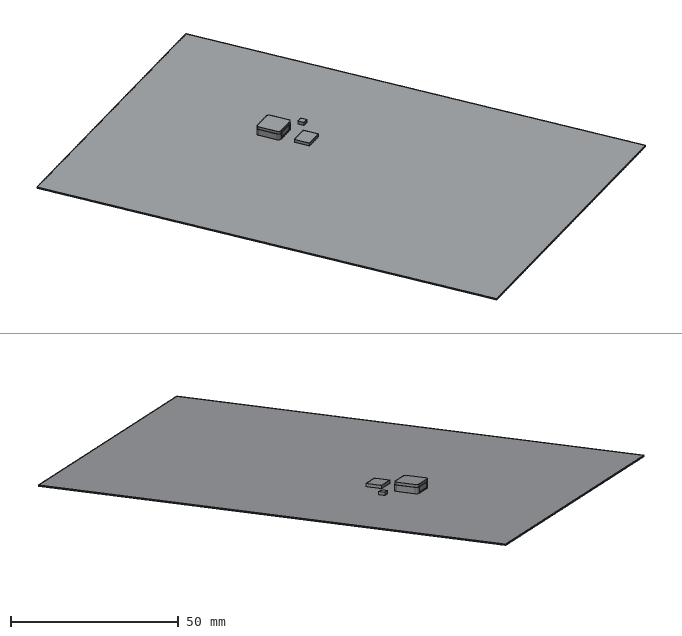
import cadquery as cq

BOARD_LENGTH = 152.4
BOARD_WIDTH = 101.7
BOARD_THICKNESS = 0.41

INDUCTOR_CENTRE = (-27.1, 9.8)
BLOCK_SIDE = 8.0
BLOCK_CORNER_RADIUS = 0.9
BLOCK_HEIGHT = 2.0
CAP_HEIGHT = 0.87
CAP_INSET = 0.08

WINDOW_WIDTH = 5.2
WINDOW_DEPTH = 0.2
WINDOW_SILL = 0.23

CHIP_CENTRE = (-16.3, INDUCTOR_CENTRE[1])
CHIP_LENGTH = 5.0
CHIP_WIDTH = 6.1
CHIP_HEIGHT = 0.99

CAPACITOR_CENTRE = (-21.6, 18.0)
CAPACITOR_SIDE = 2.0
CAPACITOR_HEIGHT = 0.99


def plate(centre, length, width, bottom, height):
    """Rectangular plate centred on an XY point, rising from the given Z."""
    return cq.Workplane("XY", origin=(*centre, bottom)).rect(length, width).extrude(height)


def rounded_layer(side, radius, bottom, height):
    """Square layer of the inductor with rounded upright corners."""
    return plate(INDUCTOR_CENTRE, side, side, bottom, height).edges("|Z").fillet(radius)


def make_inductor():
    """Block with a window in each X side, carrying the narrower cap."""
    block = rounded_layer(BLOCK_SIDE, BLOCK_CORNER_RADIUS, BOARD_THICKNESS, BLOCK_HEIGHT)
    cap = rounded_layer(
        BLOCK_SIDE - 2 * CAP_INSET,
        BLOCK_CORNER_RADIUS - CAP_INSET,
        BOARD_THICKNESS + BLOCK_HEIGHT,
        CAP_HEIGHT,
    )

    centre_x, centre_y = INDUCTOR_CENTRE
    for side in (-1, 1):
        face_centre = (centre_x + side * BLOCK_SIDE / 2, centre_y)
        window = plate(
            face_centre,
            2 * WINDOW_DEPTH,
            WINDOW_WIDTH,
            BOARD_THICKNESS + WINDOW_SILL,
            BLOCK_HEIGHT - WINDOW_SILL,
        )
        block = block.cut(window)

    return block.union(cap)


board = plate((0, 0), BOARD_LENGTH, BOARD_WIDTH, 0, BOARD_THICKNESS)
inductor = make_inductor()
chip = plate(CHIP_CENTRE, CHIP_LENGTH, CHIP_WIDTH, BOARD_THICKNESS, CHIP_HEIGHT)
capacitor = plate(CAPACITOR_CENTRE, CAPACITOR_SIDE, CAPACITOR_SIDE, BOARD_THICKNESS, CAPACITOR_HEIGHT)

result = cq.Compound.makeCompound([board.val(), inductor.val(), chip.val(), capacitor.val()])